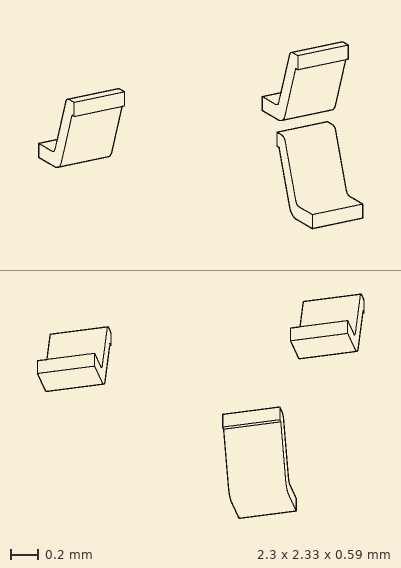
import cadquery as cq
import math

overall_length = 2.30
lead_pitch = 1.90

lead_width = 0.43
lead_height = 0.59
lead_reach = 0.505
thickness = 0.11
leg_angle = math.radians(70)
foot_flat = 0.188
bend_radius = 0.05
heel_radius = 0.10

leg_run_per_rise = 1 / math.tan(leg_angle)
leg_wall_run = thickness / math.sin(leg_angle)
tab_bottom = lead_height - thickness
foot_corner_x = foot_flat + bend_radius * math.tan(leg_angle / 2)
shoulder_x = foot_corner_x + tab_bottom * leg_run_per_rise
heel_x = foot_corner_x - thickness * leg_run_per_rise + leg_wall_run
tab_corner_x = heel_x + tab_bottom * leg_run_per_rise


def edge_at(x, z):
    """Select the profile corner edge that runs along Y through (x, z)."""
    return cq.selectors.NearestToPointSelector((x, 0, z))


def make_lead():
    """Lead centred on Y = 0 with its toe at X = 0, rising toward +X."""
    outline = [
        (0, 0),
        (heel_x, 0),
        (tab_corner_x, tab_bottom),
        (lead_reach, tab_bottom),
        (lead_reach, lead_height),
        (shoulder_x, lead_height),
        (foot_corner_x, thickness),
        (0, thickness),
    ]
    blank = cq.Workplane("XZ").polyline(outline).close().extrude(lead_width / 2, both=True)
    lead = blank.edges(edge_at(heel_x, 0)).fillet(heel_radius)
    lead = lead.edges(edge_at(foot_corner_x, thickness)).fillet(bend_radius)
    return lead.edges(edge_at(shoulder_x, lead_height)).fillet(bend_radius)


left_lead = make_lead().translate((-overall_length / 2, 0, 0))
leads = []
for side in (-1, 1):
    leads.append(left_lead.translate((0, side * lead_pitch / 2, 0)).val())

leads.append(left_lead.mirror("YZ").val())

result = cq.Compound.makeCompound(leads)